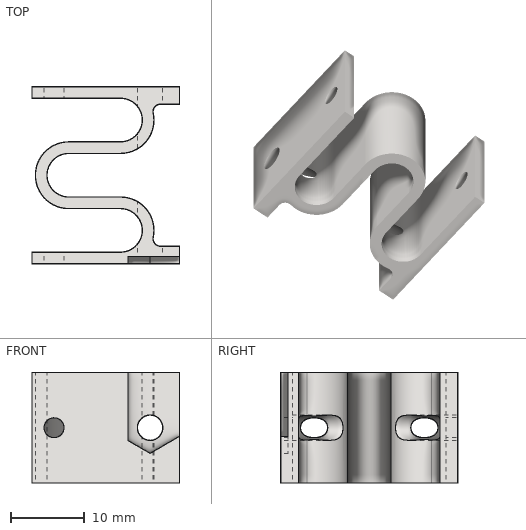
import cadquery as cq
import math

length = 20.0
width = 24.0
height = 15.0

wall = 1.6
gap = (width - 4 * wall) / 3
inner_radius = gap / 2
outer_radius = inner_radius + wall
bend_pitch = gap + wall
outer_bend_x = 12.0
middle_bend_x = 5.0

tab_thickness = 2.4
tab_fillet = 1.0

hole_z = height / 2
pin_diameter = 2.7
pin_x = 3.0
bolt_diameter = 3.4
bolt_x = 16.0
nut_across_flats = 6.0
nut_depth = 1.0


def point_on_circle(center, radius, angle):
    """Point at the given angle (radians, from +X) on a circle in the XY plane."""
    return (center[0] + radius * math.cos(angle), center[1] + radius * math.sin(angle))


def half_body():
    """The +Y half: side plate with its tab, one +X bend and half of the middle bend."""
    plate_face = width / 2 - wall
    tab_face = width / 2 - tab_thickness
    bend_center = (outer_bend_x, bend_pitch)
    middle_center = (middle_bend_x, 0)

    fillet_y = tab_face - tab_fillet
    center_distance = outer_radius + tab_fillet
    fillet_angle = math.asin((fillet_y - bend_pitch) / center_distance)
    fillet_center = point_on_circle(bend_center, center_distance, fillet_angle)
    fillet_end = point_on_circle(bend_center, outer_radius, fillet_angle)
    fillet_mid = point_on_circle(fillet_center, tab_fillet, (math.pi / 2 + math.pi + fillet_angle) / 2)

    outer_mid = point_on_circle(bend_center, outer_radius, (fillet_angle - math.pi / 2) / 2)
    bore_mid = point_on_circle(bend_center, inner_radius, 0)
    quarter_mid_angle = math.radians(135)
    middle_inner_mid = point_on_circle(middle_center, inner_radius, quarter_mid_angle)
    middle_outer_mid = point_on_circle(middle_center, outer_radius, quarter_mid_angle)

    return (
        cq.Workplane("XY")
        .moveTo(0, plate_face)
        .lineTo(0, width / 2)
        .lineTo(length, width / 2)
        .lineTo(length, tab_face)
        .lineTo(fillet_center[0], tab_face)
        .threePointArc(fillet_mid, fillet_end)
        .threePointArc(outer_mid, (outer_bend_x, inner_radius))
        .lineTo(middle_bend_x, inner_radius)
        .threePointArc(middle_inner_mid, (middle_bend_x - inner_radius, 0))
        .lineTo(middle_bend_x - outer_radius, 0)
        .threePointArc(middle_outer_mid, (middle_bend_x, outer_radius))
        .lineTo(outer_bend_x, outer_radius)
        .threePointArc(bore_mid, (outer_bend_x, plate_face))
        .close()
        .extrude(height)
    )


def body():
    """Both mirrored halves, joined through the middle bend."""
    half = half_body()
    return half.union(half.mirror("XZ"))


def cross_hole(x, diameter, y_min, y_max):
    """Round hole cutter along Y between two Y limits."""
    return cq.Workplane("XZ", origin=(x, y_min, hole_z)).circle(diameter / 2).extrude(y_min - y_max)


def nut_pocket():
    """Hexagon-cornered pocket in the -Y face, open to the top and to the +X end."""
    left_x = bolt_x - nut_across_flats / 2
    slope = math.tan(math.radians(30))
    tip_z = hole_z - nut_across_flats / math.sqrt(3)
    return (
        cq.Workplane("XZ", origin=(0, -width / 2, 0))
        .moveTo(left_x, height)
        .lineTo(left_x, tip_z + (bolt_x - left_x) * slope)
        .lineTo(bolt_x, tip_z)
        .lineTo(length, tip_z + (length - bolt_x) * slope)
        .lineTo(length, height)
        .close()
        .extrude(-nut_depth)
    )


result = body()
result = result.cut(cross_hole(bolt_x, bolt_diameter, -width / 2, width / 2))
for plate_y in (-width / 2, width / 2 - wall):
    result = result.cut(cross_hole(pin_x, pin_diameter, plate_y, plate_y + wall))
result = result.cut(nut_pocket())
result = result.translate((-length / 2, 0, -height / 2))